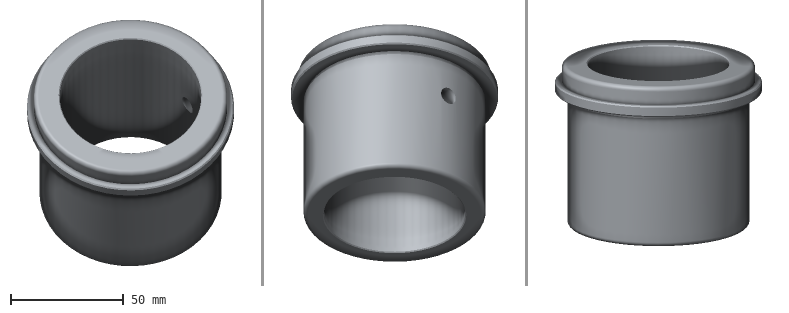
import cadquery as cq

total_height = 73.9
flange_radius = 46.0
head_radius = 42.95
body_radius = 40.5
bore_radius = 31.45

head_height = 8.0
flange_thickness = 5.0
undercut_height = 2.0
flange_top = total_height - head_height
flange_bottom = flange_top - flange_thickness
body_top = flange_bottom - undercut_height

undercut_depth = 0.7

end_rounding = 2.0
flange_chamfer = 0.55
bore_chamfer = 0.5

hole_diameter = 8.0
hole_height = 42.0


def cylinder(radius, bottom, top):
    """Solid cylinder on the Z axis between two heights."""
    return cq.Workplane("XY").workplane(offset=bottom).circle(radius).extrude(top - bottom)


def make_undercut():
    """Neck starting upright at the flange and curving out to the body."""
    arc_radius = (undercut_height**2 + undercut_depth**2) / (2 * undercut_depth)
    return (
        cq.Workplane("XZ")
        .moveTo(0, flange_bottom)
        .lineTo(body_radius - undercut_depth, flange_bottom)
        .radiusArc((body_radius, body_top), -arc_radius)
        .lineTo(0, body_top)
        .close()
        .revolve(360, (0, 0, 0), (0, 1, 0))
    )


def make_outside():
    """Body, undercut, flange and head joined without the bore."""
    body = cylinder(body_radius, 0, body_top).faces("<Z").edges().fillet(end_rounding)
    flange = cylinder(flange_radius, flange_bottom, flange_top).edges("%CIRCLE").chamfer(flange_chamfer)
    head = cylinder(head_radius, flange_top, total_height).faces(">Z").edges().fillet(end_rounding)
    return body.union(make_undercut()).union(flange).union(head)


def cut_bore(solid):
    """Through bore with a chamfer at each mouth."""
    bored = solid.cut(cylinder(bore_radius, 0, total_height))
    for end in (">Z", "<Z"):
        bored = bored.faces(end).edges(cq.selectors.RadiusNthSelector(0)).chamfer(bore_chamfer)
    return bored


def make_radial_hole():
    """Cylinder from the axis outward along +Y."""
    return (
        cq.Workplane("XZ")
        .center(0, hole_height)
        .circle(hole_diameter / 2)
        .extrude(-flange_radius)
    )


result = cut_bore(make_outside()).cut(make_radial_hole())